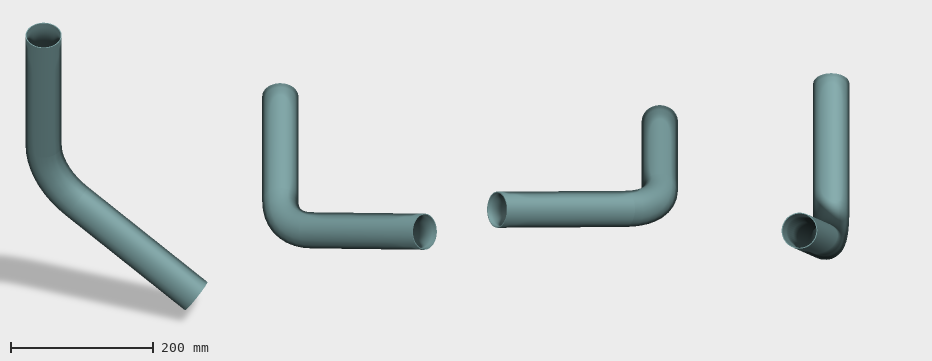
import cadquery as cq
import math

overall_height = 432.5
outer_diameter = 50.5
inner_diameter = 48.0
bend_radius = 101.5
bend_angle = 60.0

turn = math.radians(bend_angle)
bend_drop = bend_radius * math.sin(turn)
bend_shift = bend_radius * (1 - math.cos(turn))

end_face_drop = outer_diameter / 2 * math.sin(turn)
leg_length = (overall_height - bend_drop - end_face_drop) / (1 + math.cos(turn))

half_turn = turn / 2
bend_middle = (
    bend_radius * (1 - math.cos(half_turn)),
    -bend_radius * math.sin(half_turn),
)
bend_end = (bend_shift, -bend_drop)
lower_end = (
    bend_shift + leg_length * math.sin(turn),
    -bend_drop - leg_length * math.cos(turn),
)
centreline = (
    cq.Workplane("XZ")
    .moveTo(0, leg_length)
    .lineTo(0, 0)
    .threePointArc(bend_middle, bend_end)
    .lineTo(*lower_end)
)

result = (
    cq.Workplane("XY", origin=(0, 0, leg_length))
    .circle(outer_diameter / 2)
    .circle(inner_diameter / 2)
    .sweep(centreline)
)